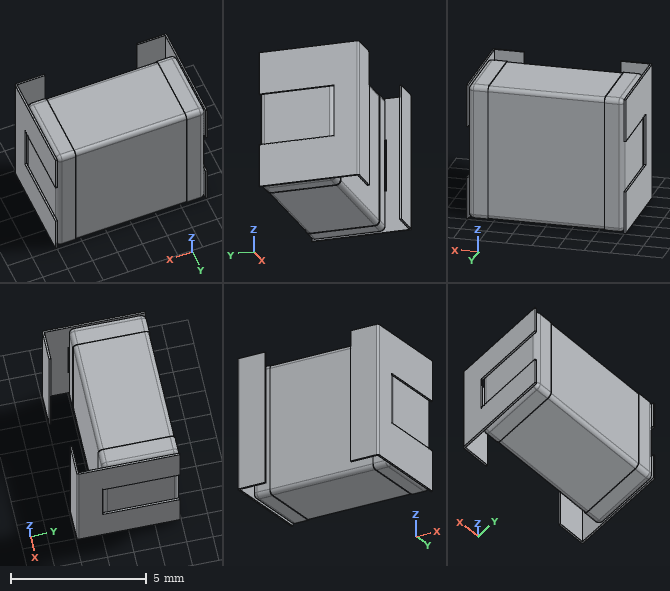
import cadquery as cq

LENGTH = 6.1
DEPTH = 3.9
HEIGHT = 5.3
BACK_Y = DEPTH / 2
FRONT_Y = -DEPTH / 2

LEAD_THICKNESS = 0.075
FOOT_LENGTH = 1.2
NOTCH_HEIGHT = 2.0

CAP_LENGTH = 0.75
CAP_DEPTH = 2.92
CAP_RADIUS = 0.195
CAP_STEP = 0.025
BLOCK_LENGTH = LENGTH - 2 * LEAD_THICKNESS
BLOCK_Y = BACK_Y - CAP_DEPTH / 2
BODY_LENGTH = BLOCK_LENGTH - 2 * CAP_LENGTH


def make_ceramic_body():
    """Ceramic block with its four long edges rounded."""
    return (
        cq.Workplane("XY")
        .box(BODY_LENGTH, CAP_DEPTH - 2 * CAP_STEP, HEIGHT - 2 * CAP_STEP)
        .edges("|X")
        .fillet(CAP_RADIUS - CAP_STEP)
        .translate((0, BLOCK_Y, 0))
    )


def make_left_cap():
    """Solid end cap, rounded everywhere except around its inner face."""
    return (
        cq.Workplane("XY")
        .box(CAP_LENGTH, CAP_DEPTH, HEIGHT)
        .edges("|X or <X")
        .fillet(CAP_RADIUS)
        .translate((-(BODY_LENGTH + CAP_LENGTH) / 2, BLOCK_Y, 0))
    )


def make_left_lead():
    """Bent strip with a plate against the cap, a foot, and a notch open at the back."""
    outer_x = -LENGTH / 2
    inner_x = outer_x + LEAD_THICKNESS
    toe_x = outer_x + FOOT_LENGTH
    strip = (
        cq.Workplane("XY")
        .moveTo(outer_x, BACK_Y)
        .lineTo(inner_x, BACK_Y)
        .lineTo(inner_x, FRONT_Y + LEAD_THICKNESS)
        .lineTo(toe_x, FRONT_Y + LEAD_THICKNESS)
        .lineTo(toe_x, FRONT_Y)
        .lineTo(inner_x, FRONT_Y)
        .radiusArc((outer_x, FRONT_Y + LEAD_THICKNESS), LEAD_THICKNESS)
        .close()
        .extrude(HEIGHT / 2, both=True)
    )
    notch = (
        cq.Workplane("XY")
        .box(LEAD_THICKNESS, CAP_DEPTH, NOTCH_HEIGHT)
        .translate((outer_x + LEAD_THICKNESS / 2, BLOCK_Y, 0))
    )
    return strip.cut(notch)


ceramic_body = make_ceramic_body()
end_caps = []
leads = []
for is_right in (False, True):
    cap = make_left_cap()
    lead = make_left_lead()
    if is_right:
        cap = cap.mirror("YZ")
        lead = lead.mirror("YZ")
    end_caps.append(cap.val())
    leads.append(lead.val())

result = cq.Compound.makeCompound([ceramic_body.val(), *end_caps, *leads])